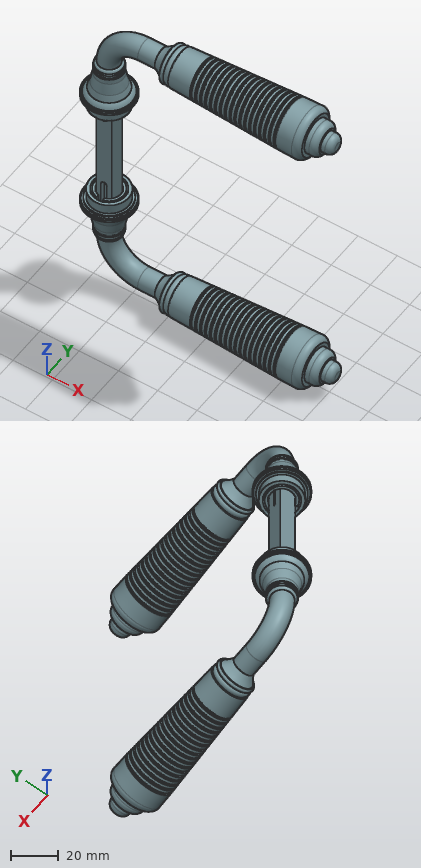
import cadquery as cq
import math


collar_end_z = 26.5
grip_axis_z = 71.5
bend_radius = 18.0
ferrule_start_x = 26.8

spindle_width = 7.9
spindle_end_z = 40.5
socket_floor_z = 32.0
slot_end_z = 19.2
slot_width = 3.0
slit_width = 1.0
spindle_bore_radius = 2.0
spindle_bore_floor_z = 20.2

bushing_inner_radius = 5.9
bushing_outer_radius = 7.2
collar_bore_radius = 8.0

tube_radius = 5.4
collar_radius = 9.8
lip_radius = 11.0
flange_radius = 12.5
lip_bottom_z = 31.5
flange_bottom_z = 32.3
flange_top_z = 34.0
flange_chamfer = 0.5
shoulder_radius = 11.5
shoulder_z = flange_top_z + flange_chamfer
bell_foot_radius = 9.5
bell_foot_z = 37.2
bell_mid_radius = 8.3
bell_mid_z = 40.8
bell_top_radius = 7.0
bell_top_z = 46.5
neck_radius = 6.9
neck_groove_radius = 6.4
neck_groove_bottom_z = 48.8
neck_groove_top_z = 49.5
neck_bead_z = 51.2
neck_top_z = 52.0
neck_top_radius = 6.5
shoulder_sag = 0.25
bell_lower_sag = 0.08
bell_upper_sag = 0.08
neck_bead_bulge = 0.2
neck_fillet_sag = 0.3
tube_start_z = grip_axis_z - bend_radius

ferrule_flare_end_x = 31.5
ferrule_flare_radius = 8.5
ferrule_flare_sag = 0.2
bead_edge_radius = 9.0
bead_groove_x = 33.5
bead_bulge = 0.7
ferrule_end_x = 36.5

grip_start_radius = 9.8
grip_taper_end_x = 93.3
grip_taper_end_radius = 12.5
grip_band_end_x = 101.2
grip_max_radius = 12.6
groove_count = 18
groove_width = 1.0
groove_depth = 0.8
first_groove_x = 48.5
last_groove_x = 92.5
groove_pitch = (last_groove_x - first_groove_x) / (groove_count - 1)
grip_shoulder_x = 105.0
grip_shoulder_radius = 10.3
knob_radius = 8.5
knob_round_start_x = 107.3
knob_end_x = 111.0
knob_end_radius = 6.0
button_radius = 5.0
button_round_start_x = 113.0
grip_end_x = 116.2
button_end_radius = 2.0


def vertical_cylinder(radius, bottom_z, top_z):
    return cq.Workplane("XY").workplane(offset=bottom_z).circle(radius).extrude(top_z - bottom_z)


def bulged_point(start, end, bulge):
    """Middle of an arc, `bulge` to the left of its chord from start to end, or right if negative."""
    run = end[0] - start[0]
    rise = end[1] - start[1]
    chord = math.hypot(run, rise)
    middle_x = (start[0] + end[0]) / 2 - bulge * rise / chord
    middle_y = (start[1] + end[1]) / 2 + bulge * run / chord
    return (middle_x, middle_y)


def rounded_corner_point(start, end):
    """Middle point of a quarter ellipse that leaves `start` along X and reaches `end` along Y."""
    diagonal = math.sqrt(0.5)
    middle_x = start[0] + (end[0] - start[0]) * diagonal
    middle_y = end[1] + (start[1] - end[1]) * diagonal
    return (middle_x, middle_y)



def end_slot(width):
    """Round-ended slot at the upper spindle end, cutting from the axis outwards toward -Y."""
    length = spindle_end_z - slot_end_z
    reach = spindle_width
    straight = cq.Workplane("XY").box(width, reach, length - width / 2, centered=(True, False, False))
    straight = straight.translate((0, 0, slot_end_z + width / 2))
    round_end = cq.Workplane("XZ").center(0, slot_end_z + width / 2).circle(width / 2).extrude(-reach)
    return straight.union(round_end).mirror("XZ")


def make_spindle():
    bar = cq.Workplane("XY").box(spindle_width, spindle_width, 2 * spindle_end_z)
    bore = vertical_cylinder(spindle_bore_radius, spindle_bore_floor_z, spindle_end_z)
    back_slit = end_slot(slit_width).mirror("XZ")
    upper_cut = bore.union(end_slot(slot_width)).union(back_slit)
    return bar.cut(upper_cut).cut(upper_cut.mirror("XY"))



def make_bushing():
    """Ring around the spindle with a notch toward -Y in line with the spindle slot."""
    height = socket_floor_z - collar_end_z
    ring = vertical_cylinder(bushing_outer_radius, collar_end_z, socket_floor_z)
    ring = ring.cut(vertical_cylinder(bushing_inner_radius, collar_end_z, socket_floor_z))
    notch = cq.Workplane("XY").box(slot_width, bushing_outer_radius, height, centered=(True, False, False))
    notch = notch.mirror("XZ").translate((0, 0, collar_end_z))
    return ring.cut(notch)



def make_bell():
    """Turned base, outlined as radius against height and revolved about Z."""
    shoulder = (shoulder_radius, shoulder_z)
    bell_foot = (bell_foot_radius, bell_foot_z)
    bell_mid = (bell_mid_radius, bell_mid_z)
    bell_top = (bell_top_radius, bell_top_z)
    neck_bead = (neck_radius, neck_bead_z)
    neck_top = (neck_top_radius, neck_top_z)
    tube_start = (tube_radius, tube_start_z)
    return (
        cq.Workplane("XZ")
        .moveTo(0, collar_end_z)
        .lineTo(collar_radius, collar_end_z)
        .lineTo(collar_radius, lip_bottom_z)
        .lineTo(lip_radius, lip_bottom_z)
        .lineTo(lip_radius, flange_bottom_z)
        .lineTo(flange_radius - flange_chamfer, flange_bottom_z)
        .lineTo(flange_radius, flange_bottom_z + flange_chamfer)
        .lineTo(flange_radius, flange_top_z)
        .lineTo(flange_radius - flange_chamfer, shoulder_z)
        .lineTo(*shoulder)
        .threePointArc(bulged_point(shoulder, bell_foot, -shoulder_sag), bell_foot)
        .threePointArc(bulged_point(bell_foot, bell_mid, -bell_lower_sag), bell_mid)
        .threePointArc(bulged_point(bell_mid, bell_top, -bell_upper_sag), bell_top)
        .lineTo(neck_radius, neck_groove_bottom_z)
        .lineTo(neck_groove_radius, neck_groove_bottom_z)
        .lineTo(neck_groove_radius, neck_groove_top_z)
        .lineTo(neck_radius, neck_groove_top_z)
        .lineTo(*neck_bead)
        .threePointArc(bulged_point(neck_bead, neck_top, neck_bead_bulge), neck_top)
        .threePointArc(bulged_point(neck_top, tube_start, -neck_fillet_sag), tube_start)
        .lineTo(0, tube_start_z)
        .close()
        .revolve(360, (0, 0, 0), (0, 1, 0))
    )


def make_neck():
    """Tube that bends from the bell axis into the grip axis."""
    bend = (
        cq.Workplane("XY")
        .workplane(offset=tube_start_z)
        .circle(tube_radius)
        .revolve(90, (bend_radius, 0, 0), (bend_radius, 1, 0))
    )
    straight = (
        cq.Workplane("YZ", origin=(bend_radius, 0, grip_axis_z))
        .circle(tube_radius)
        .extrude(ferrule_start_x - bend_radius)
    )
    return bend.union(straight)


def make_lever():
    socket_depth = spindle_end_z - socket_floor_z
    socket = (
        cq.Workplane("XY")
        .workplane(offset=socket_floor_z)
        .rect(spindle_width, spindle_width)
        .extrude(socket_depth)
    )
    collar_bore = vertical_cylinder(collar_bore_radius, collar_end_z, socket_floor_z)
    return make_bell().union(make_neck()).cut(collar_bore).cut(socket)



def revolve_on_grip_axis(outline):
    return outline.close().revolve(360, (0, 0, 0), (1, 0, 0)).translate((0, 0, grip_axis_z))


def make_ferrule():
    """Flared socket ending in two round beads."""
    flare_start = (ferrule_start_x, tube_radius)
    flare_end = (ferrule_flare_end_x, ferrule_flare_radius)
    bead_start = (ferrule_flare_end_x, bead_edge_radius)
    bead_groove = (bead_groove_x, bead_edge_radius)
    ferrule_end = (ferrule_end_x, bead_edge_radius)
    outline = (
        cq.Workplane("XZ")
        .moveTo(ferrule_start_x, 0)
        .lineTo(*flare_start)
        .threePointArc(bulged_point(flare_start, flare_end, -ferrule_flare_sag), flare_end)
        .lineTo(*bead_start)
        .threePointArc(bulged_point(bead_start, bead_groove, bead_bulge), bead_groove)
        .threePointArc(bulged_point(bead_groove, ferrule_end, bead_bulge), ferrule_end)
        .lineTo(ferrule_end_x, 0)
    )
    return revolve_on_grip_axis(outline)


def taper_radius(x):
    taper = (grip_taper_end_radius - grip_start_radius) / (grip_taper_end_x - ferrule_end_x)
    return grip_start_radius + taper * (x - ferrule_end_x)


def make_grip():
    """Tapered handle with evenly spaced square grooves and a stepped, rounded end."""
    outline = cq.Workplane("XZ").moveTo(ferrule_end_x, 0).lineTo(ferrule_end_x, grip_start_radius)
    for index in range(groove_count):
        groove_start = first_groove_x + index * groove_pitch - groove_width / 2
        groove_end = groove_start + groove_width
        floor_radius = taper_radius(groove_start) - groove_depth
        outline = (
            outline.lineTo(groove_start, taper_radius(groove_start))
            .lineTo(groove_start, floor_radius)
            .lineTo(groove_end, floor_radius)
            .lineTo(groove_end, taper_radius(groove_end))
        )

    taper_end = (grip_taper_end_x, grip_taper_end_radius)
    band_end = (grip_band_end_x, grip_max_radius)
    shoulder = (grip_shoulder_x, grip_shoulder_radius)
    knob_round_start = (knob_round_start_x, knob_radius)
    knob_end = (knob_end_x, knob_end_radius)
    button_round_start = (button_round_start_x, button_radius)
    button_end = (grip_end_x, button_end_radius)
    outline = (
        outline.lineTo(*taper_end)
        .lineTo(*band_end)
        .threePointArc(rounded_corner_point(band_end, shoulder), shoulder)
        .lineTo(grip_shoulder_x, knob_radius)
        .lineTo(*knob_round_start)
        .threePointArc(rounded_corner_point(knob_round_start, knob_end), knob_end)
        .lineTo(knob_end_x, button_radius)
        .lineTo(*button_round_start)
        .threePointArc(rounded_corner_point(button_round_start, button_end), button_end)
        .lineTo(grip_end_x, 0)
    )
    return revolve_on_grip_axis(outline)



bodies = [make_spindle().val()]
for upper_body in (make_lever(), make_bushing(), make_ferrule(), make_grip()):
    bodies.append(upper_body.val())
    bodies.append(upper_body.mirror("XY").val())

result = cq.Compound.makeCompound(bodies)